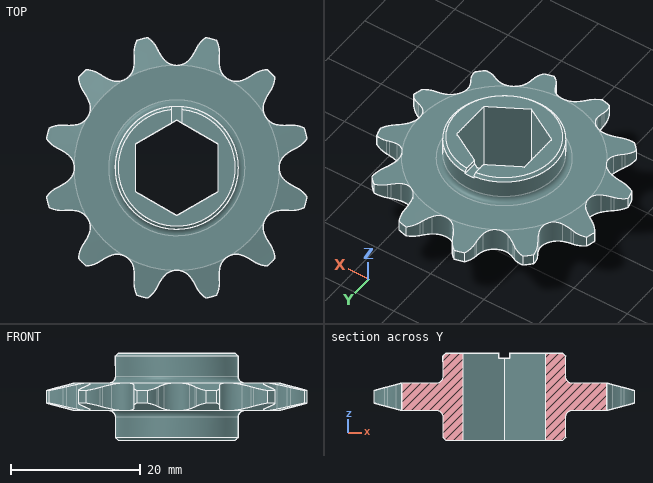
import cadquery as cq
import math


tooth_count = 12
overall_width = 40.3
pitch_radius = 18.4
roller_diameter = 5.08
seating_radius = 2.58

plate_thickness = 4.27
tip_thickness = 1.95
taper_start_radius = 15.87

hub_radius = 9.5
hub_height = 13.5
hub_fillet = 1.0
hub_chamfer = 0.5
hex_across_flats = 12.75

slot_width = 1.65
slot_depth = 0.75


def from_polar(radius, degrees):
    angle = math.radians(degrees)
    return radius * math.cos(angle), radius * math.sin(angle)


def offset(point, distance, degrees):
    """Point reached from `point` by moving `distance` in the given direction."""
    dx, dy = from_polar(distance, degrees)
    return point[0] + dx, point[1] + dy


def mirror_x(point):
    return -point[0], point[1]


seating_angle = 35 + 60 / tooth_count
working_angle = 18 - 56 / tooth_count
topping_angle = 17 - 64 / tooth_count
flank_direction = 180 + seating_angle - working_angle

working_center_distance = 0.8 * roller_diameter
topping_center_distance = 1.4 * roller_diameter
working_radius = seating_radius + working_center_distance
straight_length = (
    topping_center_distance * math.sin(math.radians(topping_angle))
    - working_center_distance * math.sin(math.radians(working_angle))
)
topping_radius = (
    working_center_distance * math.cos(math.radians(working_angle))
    + topping_center_distance * math.cos(math.radians(topping_angle))
    - working_radius
)

roller_center = (0, pitch_radius)
gap_bottom = (0, pitch_radius - seating_radius)
seat_end = offset(roller_center, seating_radius, 180 + seating_angle)
working_center = offset(roller_center, working_center_distance, seating_angle)
working_middle = offset(working_center, working_radius, flank_direction + working_angle / 2)
working_end = offset(working_center, working_radius, flank_direction)
straight_end = offset(working_end, straight_length, flank_direction - 90)
topping_center = offset(straight_end, topping_radius, flank_direction)

tip_rise = overall_width / 2 - topping_center[1]
topping_end_direction = math.degrees(math.asin(tip_rise / topping_radius))
topping_middle = offset(
    topping_center, topping_radius, (flank_direction - 180 + topping_end_direction) / 2
)
tip_corner = offset(topping_center, topping_radius, topping_end_direction)
outer_radius = math.hypot(*tip_corner)


def make_plate():
    """Disc whose rim narrows conically from the taper start to the tooth tips."""
    half_plate = plate_thickness / 2
    half_tip = tip_thickness / 2
    return (
        cq.Workplane("XZ")
        .moveTo(0, -half_plate)
        .lineTo(taper_start_radius, -half_plate)
        .lineTo(outer_radius, -half_tip)
        .lineTo(outer_radius, half_tip)
        .lineTo(taper_start_radius, half_plate)
        .lineTo(0, half_plate)
        .close()
        .revolve(360, (0, 0), (0, 1))
    )


def make_gap_cutter():
    """Prism of one tooth gap, carried straight up past the tooth tips."""
    clear_height = outer_radius + roller_diameter / 2
    return (
        cq.Workplane("XY", origin=(0, 0, -plate_thickness / 2))
        .moveTo(*seat_end)
        .threePointArc(gap_bottom, mirror_x(seat_end))
        .threePointArc(mirror_x(working_middle), mirror_x(working_end))
        .lineTo(*mirror_x(straight_end))
        .threePointArc(mirror_x(topping_middle), mirror_x(tip_corner))
        .lineTo(-tip_corner[0], clear_height)
        .lineTo(tip_corner[0], clear_height)
        .lineTo(*tip_corner)
        .threePointArc(topping_middle, straight_end)
        .lineTo(*working_end)
        .threePointArc(working_middle, seat_end)
        .close()
        .extrude(plate_thickness)
    )


def make_hub():
    """Chamfered hub with a concave fillet above and below the plate."""
    half_plate = plate_thickness / 2
    half_hub = hub_height / 2
    fillet_reach = hub_radius + hub_fillet
    fillet_dip = hub_fillet * (1 - math.sqrt(0.5))
    upper_half = (
        cq.Workplane("XZ")
        .lineTo(fillet_reach, 0)
        .lineTo(fillet_reach, half_plate)
        .threePointArc(
            (hub_radius + fillet_dip, half_plate + fillet_dip),
            (hub_radius, half_plate + hub_fillet),
        )
        .lineTo(hub_radius, half_hub - hub_chamfer)
        .lineTo(hub_radius - hub_chamfer, half_hub)
        .lineTo(0, half_hub)
        .close()
        .revolve(360, (0, 0), (0, 1))
    )
    return upper_half.union(upper_half.mirror("XY"))


def make_hex_bore():
    """Through bore with flats facing +X and -X and corners on the Y axis."""
    across_corners = hex_across_flats / math.cos(math.radians(30))
    return (
        cq.Workplane("XY")
        .transformed(rotate=(0, 0, 90))
        .polygon(6, across_corners)
        .extrude(hub_height / 2, both=True)
    )


def make_slot():
    """Radial slot in the upper hub face, from the bore out through the +Y wall."""
    slot_floor = hub_height / 2 - slot_depth
    return (
        cq.Workplane("XY", origin=(0, 0, slot_floor))
        .box(slot_width, hub_radius, slot_depth, centered=(True, False, False))
    )


plate = make_plate()
gap_cutter = make_gap_cutter()
for gap in range(tooth_count):
    plate = plate.cut(gap_cutter.rotate((0, 0, 0), (0, 0, 1), gap * 360 / tooth_count))

result = plate.union(make_hub()).cut(make_hex_bore()).cut(make_slot())